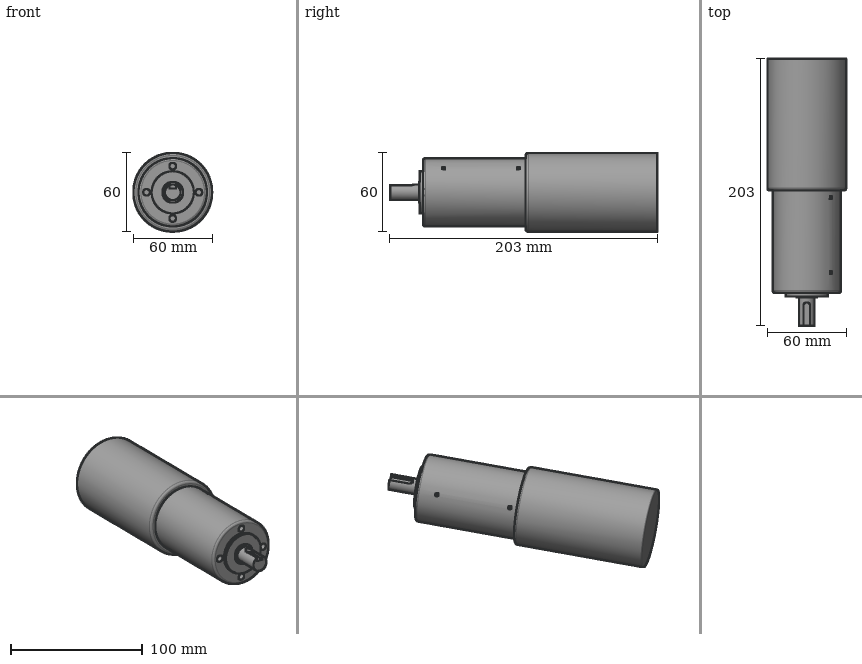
import cadquery as cq
import math

total_length = 203.0
motor_diameter = 60.0
motor_length = 100.0
motor_front_round = 2.0
motor_rear_round = 0.6

gearbox_diameter = 52.0
gearbox_length = 78.0
gearbox_front_round = 1.8

pilot_diameter = 32.0
pilot_height = 2.6

shaft_diameter = 12.0
key_width = 5.0
key_length = 17.9
key_floor_height = 2.8

clip_diameter = 15.8
clip_thickness = 0.6
clip_gap = 1.5
clip_hole_diameter = 1.2
clip_hole_angle = 22.0

mount_hole_diameter = 5.0
mount_hole_circle_radius = 19.9
mount_hole_depth = 8.1
mount_hole_count = 4

pin_hole_diameter = 2.5
pin_hole_depth = 3.0
pin_hole_angle = 45.0
pin_hole_inset = 5.5
pin_hole_spacing = 56.8

shoulder_y = total_length - motor_length
gearbox_front_y = shoulder_y - gearbox_length
pilot_front_y = gearbox_front_y - pilot_height
clip_front_y = pilot_front_y - clip_thickness


def cylinder(diameter, front_y, rear_y, x=0, z=0):
    """Solid cylinder parallel to Y between two Y positions."""
    base = cq.Workplane("XZ", origin=(x, front_y, z))
    return base.circle(diameter / 2).extrude(front_y - rear_y)


def polar_point(radius, angle):
    """X and Z of a point around the shaft axis."""
    angle = math.radians(angle)
    return radius * math.cos(angle), radius * math.sin(angle)


def motor():
    body = cylinder(motor_diameter, shoulder_y, total_length)
    body = body.faces("<Y").edges().fillet(motor_front_round)
    return body.faces(">Y").edges().fillet(motor_rear_round)


def gearbox():
    body = cylinder(gearbox_diameter, gearbox_front_y, shoulder_y)
    return body.faces("<Y").edges().fillet(gearbox_front_round)


def keyway():
    """Slot open at the shaft tip with a round inner end."""
    round_centre_y = key_length - key_width / 2
    slot_height = shaft_diameter / 2 - key_floor_height
    floor = cq.Workplane("XY", origin=(0, 0, key_floor_height))
    outline = (
        floor.moveTo(-key_width / 2, 0)
        .lineTo(-key_width / 2, round_centre_y)
        .threePointArc((0, key_length), (key_width / 2, round_centre_y))
        .lineTo(key_width / 2, 0)
        .close()
    )
    return outline.extrude(slot_height)


def retaining_clip():
    """Thin split ring on the pilot face, with a plier hole on each side of its gap."""
    clip = cylinder(clip_diameter, clip_front_y, pilot_front_y)
    gap_origin = (-clip_diameter / 4, clip_front_y, 0)
    gap = cq.Workplane("XZ", origin=gap_origin).rect(clip_diameter / 2, clip_gap).extrude(-clip_thickness)
    clip = clip.cut(gap)
    hole_radius = (clip_diameter + shaft_diameter) / 4
    for offset in (-clip_hole_angle, clip_hole_angle):
        x, z = polar_point(hole_radius, 180 + offset)
        clip = clip.cut(cylinder(clip_hole_diameter, clip_front_y, pilot_front_y, x, z))
    return clip


def mount_holes():
    holes = cq.Workplane()
    for index in range(mount_hole_count):
        x, z = polar_point(mount_hole_circle_radius, index * 360 / mount_hole_count)
        rear_y = gearbox_front_y + mount_hole_depth
        holes = holes.add(cylinder(mount_hole_diameter, gearbox_front_y, rear_y, x, z))
    return holes.combine()


def pin_hole(y):
    """Blind radial hole in the side of the gearbox."""
    floor_radius = gearbox_diameter / 2 - pin_hole_depth
    x, z = polar_point(floor_radius, pin_hole_angle)
    direction_x, direction_z = polar_point(1, pin_hole_angle)
    return cq.Workplane(
        cq.Solid.makeCylinder(
            pin_hole_diameter / 2,
            2 * pin_hole_depth,
            cq.Vector(x, y, z),
            cq.Vector(direction_x, 0, direction_z),
        )
    )


result = motor().union(gearbox())
result = result.union(cylinder(pilot_diameter, pilot_front_y, gearbox_front_y))
result = result.union(retaining_clip())
result = result.union(cylinder(shaft_diameter, 0, pilot_front_y))
result = result.cut(keyway()).cut(mount_holes())

rear_pin_y = shoulder_y - pin_hole_inset
for pin_y in (rear_pin_y, rear_pin_y - pin_hole_spacing):
    result = result.cut(pin_hole(pin_y))